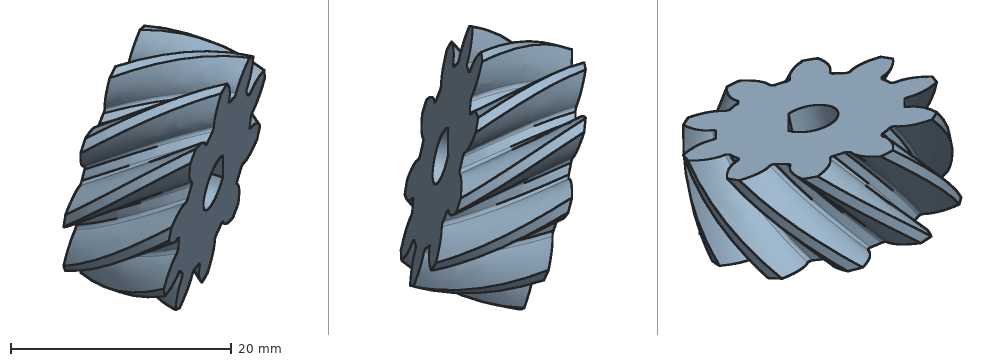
import cadquery as cq
import math

tooth_count = 10
face_width = 10.0
twist_angle = -47.0
tip_radius = 12.1
root_radius = 8.72

tip_half_width = 0.7
upper_flank = (1.4, 11.05)
middle_flank = (1.82, 9.93)
flank_foot = (1.85, 8.85)
root_corner_half_width = 2.15
root_blend_bulge = 0.085

bore_radius = 2.61
bore_flat_offset = 1.99

pitch_angle = 360 / tooth_count


def on_circle(radius, half_width):
    """Point on a circle about the axis at a given distance beside the tooth centre line."""
    return half_width, math.sqrt(radius**2 - half_width**2)


def turn(point, degrees):
    """Rotate a profile point clockwise about the axis."""
    angle = math.radians(degrees)
    y, z = point
    return (y * math.cos(angle) + z * math.sin(angle), z * math.cos(angle) - y * math.sin(angle))


def mirror(point):
    return -point[0], point[1]


def blend_middle(start, end):
    """Middle of the concave root blend, bulging toward the tooth centre line and the axis."""
    dy = end[0] - start[0]
    dz = end[1] - start[1]
    length = math.hypot(dy, dz)
    middle_y = (start[0] + end[0]) / 2 + root_blend_bulge * dz / length
    middle_z = (start[1] + end[1]) / 2 - root_blend_bulge * dy / length
    return middle_y, middle_z


def gear_profile():
    tip_corner = on_circle(tip_radius, tip_half_width)
    root_corner = on_circle(root_radius, root_corner_half_width)
    root_blend = blend_middle(flank_foot, root_corner)
    rising_flank = (middle_flank, upper_flank, tip_corner)
    falling_flank = (upper_flank, middle_flank, flank_foot)
    profile = cq.Workplane("YZ").moveTo(*mirror(root_corner))
    for tooth in range(tooth_count):
        angle = tooth * pitch_angle

        def place(point):
            return turn(point, angle)

        profile = (
            profile
            .threePointArc(place(mirror(root_blend)), place(mirror(flank_foot)))
            .spline([place(mirror(point)) for point in rising_flank], includeCurrent=True)
            .threePointArc(place((0, tip_radius)), place(tip_corner))
            .spline([place(point) for point in falling_flank], includeCurrent=True)
            .threePointArc(place(root_blend), place(root_corner))
            .threePointArc(
                turn((0, root_radius), angle + pitch_angle / 2),
                turn(mirror(root_corner), angle + pitch_angle),
            )
        )
    return profile.close()


def d_bore():
    flat_half_height = math.sqrt(bore_radius**2 - bore_flat_offset**2)
    return (
        cq.Workplane("YZ")
        .moveTo(bore_flat_offset, -flat_half_height)
        .lineTo(bore_flat_offset, flat_half_height)
        .threePointArc((-bore_radius, 0), (bore_flat_offset, -flat_half_height))
        .close()
        .extrude(face_width)
    )


gear = gear_profile().twistExtrude(face_width, twist_angle)
result = gear.cut(d_bore()).translate((-face_width / 2, 0, 0))